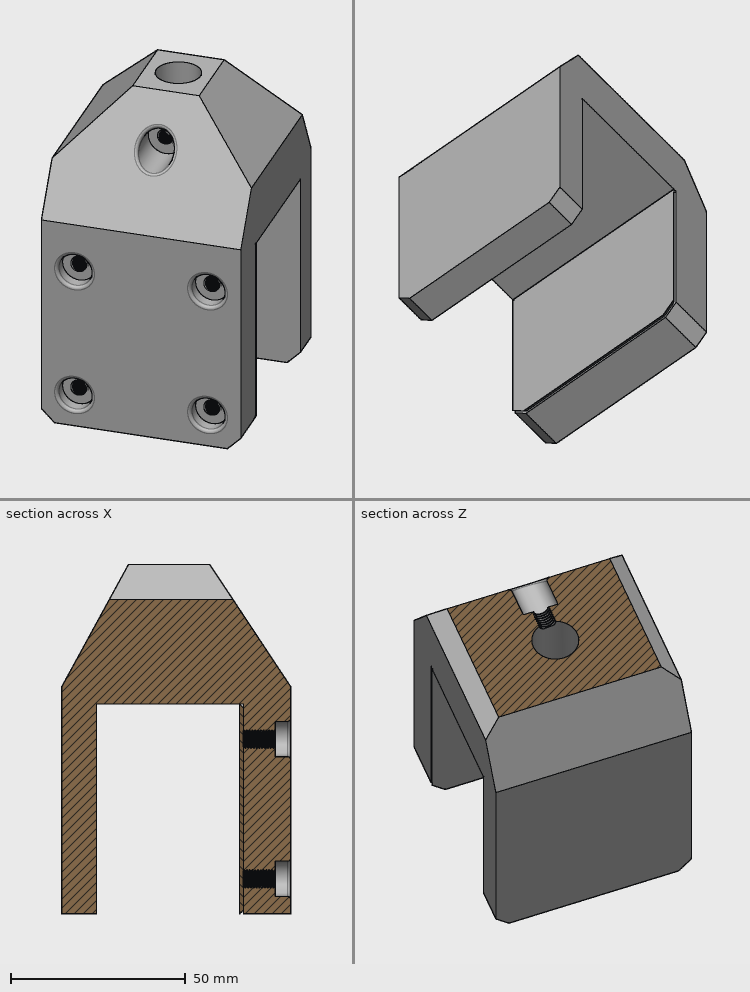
import cadquery as cq
import math

WIDTH = 60.0
DEPTH = 65.6
HEIGHT = 100.0

BACK_LEG = 10.0
SLOT_WIDTH = 42.0
SLOT_HEIGHT = 60.0
LEG_CORNER = 4.0

TOP_WIDTH = 20.0
TOP_DEPTH = 23.3
SIDE_SHOULDER_Z = 80.0
FRONT_SHOULDER_Z = 65.0
FRONT_SETBACK = 23.2

VERTICAL_BORE = 13.3
HEAD_BORE = 10.5
HEAD_BORE_Z = 85.0
HEAD_BORE_DEPTH = 9.8
LEG_BORE = 10.0
LEG_BORE_DEPTH = 4.4
LEG_BORE_SPACING = 40.0
LEG_BORE_LOW_Z = 10.0
RIM_FILLET = 1.0

THREAD_MINOR = 4.23
THREAD_MAJOR = 5.12
THREAD_PITCH = 0.8
THREAD_ANGLE = 60.0
ROOT_FLAT_RATIO = 1 / 8
THREAD_OVERLAP = 0.05
LEG_THREAD_START_ANGLE = 180.0
HEAD_THREAD_START_ANGLE = 215.0

LINER_THICKNESS = 1.1
LINER_BEVEL = 1.0

half_width = WIDTH / 2
front_y = -(FRONT_SETBACK + TOP_DEPTH / 2)
back_y = front_y + DEPTH
slot_back_y = back_y - BACK_LEG
slot_front_y = slot_back_y - SLOT_WIDTH
leg_bore_points = [
    (x, z)
    for x in (-LEG_BORE_SPACING / 2, LEG_BORE_SPACING / 2)
    for z in (LEG_BORE_LOW_Z, LEG_BORE_LOW_Z + LEG_BORE_SPACING)
]


def hole_along_y(x, z, start_y, length, diameter):
    """Cylinder that runs toward +Y from start_y."""
    start = cq.Vector(x, start_y, z)
    direction = cq.Vector(0, 1, 0)
    return cq.Workplane(cq.Solid.makeCylinder(diameter / 2, length, start, direction))


def make_thread_ridge(length, start_angle):
    """Right-handed helical ridge along +Y from the origin, which cuts the groove of a thread."""
    inner_radius = THREAD_MINOR / 2 - THREAD_OVERLAP
    groove_depth = (THREAD_MAJOR - THREAD_MINOR) / 2
    root_half = THREAD_PITCH * ROOT_FLAT_RATIO / 2
    flank = math.tan(math.radians(THREAD_ANGLE / 2))
    mouth_half = root_half + (groove_depth + THREAD_OVERLAP) * flank
    helix = cq.Wire.makeHelix(THREAD_PITCH, length, THREAD_MINOR / 2)
    ridge = (
        cq.Workplane("XZ")
        .moveTo(inner_radius, -mouth_half)
        .lineTo(THREAD_MAJOR / 2, -root_half)
        .lineTo(THREAD_MAJOR / 2, root_half)
        .lineTo(inner_radius, mouth_half)
        .close()
        .sweep(cq.Workplane(helix), isFrenet=True)
    )
    ridge = ridge.rotate((0, 0, 0), (0, 0, 1), start_angle)
    return ridge.rotate((0, 0, 0), (1, 0, 0), -90)


def make_thread_cutter(length, start_angle):
    """Threaded core along +Y for a hole of this length; it runs one pitch past both ends."""
    cutter_length = length + 2 * THREAD_PITCH
    core = hole_along_y(0, 0, 0, cutter_length, THREAD_MINOR)
    cutter = core.union(make_thread_ridge(cutter_length, start_angle))
    return cutter.translate((0, -THREAD_PITCH, 0))


def make_block():
    """Fork with a tapered head: the side profile crossed with the front profile."""
    side_profile = (
        cq.Workplane("YZ")
        .moveTo(front_y, 0)
        .lineTo(front_y, FRONT_SHOULDER_Z)
        .lineTo(-TOP_DEPTH / 2, HEIGHT)
        .lineTo(TOP_DEPTH / 2, HEIGHT)
        .lineTo(back_y, FRONT_SHOULDER_Z)
        .lineTo(back_y, 0)
        .lineTo(slot_back_y, 0)
        .lineTo(slot_back_y, SLOT_HEIGHT)
        .lineTo(slot_front_y, SLOT_HEIGHT)
        .lineTo(slot_front_y, 0)
        .close()
        .extrude(half_width, both=True)
    )
    front_profile = (
        cq.Workplane("XZ", origin=(0, back_y, 0))
        .moveTo(LEG_CORNER - half_width, 0)
        .lineTo(-half_width, LEG_CORNER)
        .lineTo(-half_width, SIDE_SHOULDER_Z)
        .lineTo(-TOP_WIDTH / 2, HEIGHT)
        .lineTo(TOP_WIDTH / 2, HEIGHT)
        .lineTo(half_width, SIDE_SHOULDER_Z)
        .lineTo(half_width, LEG_CORNER)
        .lineTo(half_width - LEG_CORNER, 0)
        .close()
        .extrude(DEPTH)
    )
    return side_profile.intersect(front_profile)


def cut_vertical_bore(body):
    bore = cq.Workplane("XY").circle(VERTICAL_BORE / 2).extrude(HEIGHT)
    return body.cut(bore)


def cut_head_bore(body):
    """Flat-bottomed bore in the sloping front face, with a small hole on to the vertical bore."""
    slope = FRONT_SETBACK / (HEIGHT - FRONT_SHOULDER_Z)
    mouth_y = front_y + (HEAD_BORE_Z - FRONT_SHOULDER_Z) * slope
    floor_y = mouth_y + HEAD_BORE_DEPTH
    body = body.cut(hole_along_y(0, HEAD_BORE_Z, front_y, floor_y - front_y, HEAD_BORE))
    rim = cq.selectors.BoxSelector(
        (-HEAD_BORE, front_y, HEAD_BORE_Z - HEAD_BORE),
        (HEAD_BORE, mouth_y + HEAD_BORE / 2, HEAD_BORE_Z + HEAD_BORE),
    )
    body = body.edges(rim).fillet(RIM_FILLET)
    breakthrough_y = -math.sqrt(VERTICAL_BORE**2 - THREAD_MAJOR**2) / 2
    cutter = make_thread_cutter(breakthrough_y - floor_y, HEAD_THREAD_START_ANGLE)
    return body.cut(cutter.translate((0, floor_y, HEAD_BORE_Z)))


def cut_leg_bores(body):
    floor_y = front_y + LEG_BORE_DEPTH
    for x, z in leg_bore_points:
        body = body.cut(hole_along_y(x, z, front_y, LEG_BORE_DEPTH, LEG_BORE))
    body = body.faces("<Y").edges("%CIRCLE").fillet(RIM_FILLET)
    cutter = make_thread_cutter(slot_front_y - floor_y, LEG_THREAD_START_ANGLE)
    for x, z in leg_bore_points:
        body = body.cut(cutter.translate((x, floor_y, z)))
    return body


def make_liner():
    """Plate with the outline of the leg, bevelled all round on the side against the leg."""
    plate = (
        cq.Workplane("XZ", origin=(0, slot_front_y + LINER_THICKNESS, 0))
        .moveTo(LEG_CORNER - half_width, 0)
        .lineTo(-half_width, LEG_CORNER)
        .lineTo(-half_width, SLOT_HEIGHT)
        .lineTo(half_width, SLOT_HEIGHT)
        .lineTo(half_width, LEG_CORNER)
        .lineTo(half_width - LEG_CORNER, 0)
        .close()
        .extrude(LINER_THICKNESS)
    )
    return plate.faces("<Y").chamfer(LINER_BEVEL)


housing = cut_leg_bores(cut_head_bore(cut_vertical_bore(make_block())))
liner = make_liner()

result = cq.Compound.makeCompound([housing.val(), liner.val()])